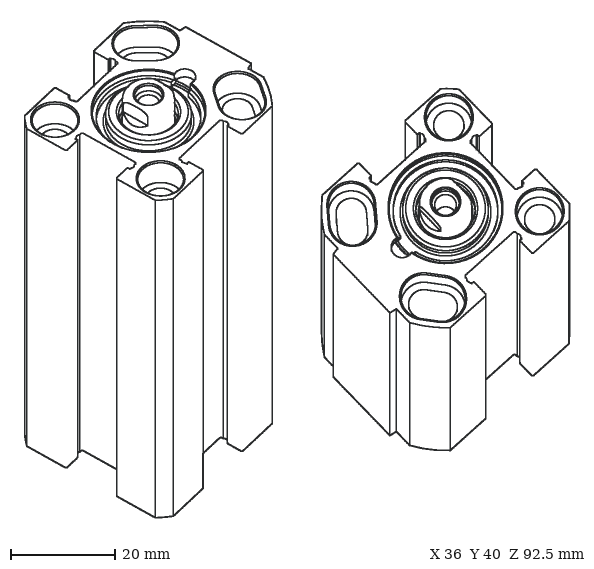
import cadquery as cq
import math

TOTAL_HEIGHT = 92.5
ROD_PROJECTION = 4.5
DECK_Z = TOTAL_HEIGHT - ROD_PROJECTION

WIDTH = 36.0
LENGTH = 40.0
HALF_WIDTH = WIDTH / 2
CORNER_RADIUS = 23.8
SHOULDER_Y = 20.5
PLATEAU_Y = LENGTH - HALF_WIDTH
PLATEAU_HALF_TOP = 8.0
PLATEAU_HALF_ROOT = 8.2

SLOT_HALF_OPENING = 6.0
SLOT_HALF_BASE = 6.6
SLOT_LIP_DEPTH = 3.6
SLOT_DEPTH = 5.6
SLOT_DIMPLE_DIAMETER = 1.6
SLOT_EDGE_RADIUS = 0.3
SLOT_CORNER_RADIUS = 0.4
SLOT_ANGLES = (-90, 0, 180)

MOUNT_OFFSET = 12.8
LONG_HOLE_END_X = 10.0
LONG_HOLE_END_Y = 15.0
MOUNT_DIAMETER = 5.8
COUNTERBORE_DIAMETER = 8.8
COUNTERBORE_DEPTH = 5.7
COUNTERBORE_CHAMFER = 0.3

MOUTH_DIAMETER = 21.6
MOUTH_CHAMFER = 0.2
GROOVE_DIAMETER = 22.8
GROOVE_TOP_DEPTH = 1.6
RING_THICKNESS = 1.4
HEAD_DEPTH = GROOVE_TOP_DEPTH + RING_THICKNESS
HEAD_LENGTH = 11.1
HEAD_BOTTOM_DEPTH = HEAD_DEPTH + HEAD_LENGTH
NOTCH_DIAMETER = 4.2
NOTCH_Y = 11.4
NOTCH_DEPTH = 2.2

RING_INNER_DIAMETER = 20.1
RING_GAP = NOTCH_DIAMETER

BOSS_ROOT_DIAMETER = 17.4
BOSS_DIAMETER = 16.5
BOSS_TOP_DIAMETER = 15.3
BOSS_TOP_DEPTH = 0.3
BOSS_SHOULDER_DEPTH = 0.8
RECESS_DIAMETER = 11.4
RECESS_CHAMFER = 0.5
RECESS_DEPTH = 2.8
HEAD_BORE_DIAMETER = 10.45

ROD_DIAMETER = 10.0
ROD_FILLET = 1.3
FLAT_WIDTH = 8.05
FLAT_LENGTH = 3.4
THREAD_DIAMETER = 4.2
THREAD_DEPTH = 11.1
THREAD_RELIEF_DIAMETER = 5.3
THREAD_RELIEF_DEPTH = 1.8
THREAD_CHAMFER = 0.3
DRILL_TIP_ANGLE = 118


def cylinder(diameter, bottom, top):
    """A cylinder on the Z axis between two heights."""
    return cq.Workplane("XY").workplane(offset=bottom).circle(diameter / 2).extrude(top - bottom)


def revolve_profile(points):
    """Turn a closed (radius, z) outline about the Z axis."""
    return cq.Workplane("XZ").polyline(points).close().revolve(360, (0, 0, 0), (0, 1, 0))


def make_profile():
    """Extruded body: a square with turned corners and a raised plateau on its +Y side."""
    right = [
        (HALF_WIDTH, -HALF_WIDTH),
        (HALF_WIDTH, SHOULDER_Y),
        (PLATEAU_HALF_ROOT, SHOULDER_Y),
        (PLATEAU_HALF_TOP, PLATEAU_Y),
    ]
    left = [(-x, y) for x, y in reversed(right)]
    block = cq.Workplane("XY").polyline(right + left).close().extrude(DECK_Z)
    return block.intersect(cylinder(2 * CORNER_RADIUS, 0, DECK_Z))


def make_sensor_slot():
    """Cutter for a slot that faces +X: undercut behind its lips, with a round dimple on each side."""
    lip_x = HALF_WIDTH - SLOT_LIP_DEPTH
    base_x = HALF_WIDTH - SLOT_DEPTH
    dimple_radius = SLOT_DIMPLE_DIAMETER / 2
    half_slot = (
        cq.Workplane("XY")
        .moveTo(base_x, 0)
        .lineTo(base_x, SLOT_HALF_BASE)
        .lineTo(lip_x, SLOT_HALF_BASE)
        .lineTo(lip_x, SLOT_HALF_OPENING)
        .lineTo(HALF_WIDTH - SLOT_EDGE_RADIUS, SLOT_HALF_OPENING)
        .tangentArcPoint((HALF_WIDTH, SLOT_HALF_OPENING + SLOT_EDGE_RADIUS), relative=False)
        .lineTo(HALF_WIDTH, 0)
        .close()
        .extrude(DECK_Z)
    )
    slot = half_slot.union(half_slot.mirror("XZ")).clean()
    slot = slot.faces("<X").edges("|Z").fillet(SLOT_CORNER_RADIUS)
    dimples = (
        cq.Workplane("XY")
        .pushPoints([(lip_x - dimple_radius, side * SLOT_HALF_OPENING) for side in (-1, 1)])
        .circle(dimple_radius)
        .extrude(DECK_Z)
    )
    return slot.union(dimples)


def make_mounting_hole(x, y, run=0.0, angle=0.0):
    """Cutter for a counterbored through hole; a run makes it an elongated hole along the angle."""

    def section(diameter, z):
        sketch = cq.Workplane("XY", origin=(x, y, z))
        if run:
            return sketch.slot2D(run + diameter, diameter, angle)
        return sketch.circle(diameter / 2)

    rim_diameter = COUNTERBORE_DIAMETER + 2 * COUNTERBORE_CHAMFER
    through = section(MOUNT_DIAMETER, 0).extrude(DECK_Z)
    counterbore = section(COUNTERBORE_DIAMETER, DECK_Z - COUNTERBORE_DEPTH).extrude(COUNTERBORE_DEPTH)
    rim = section(rim_diameter, DECK_Z).extrude(-COUNTERBORE_CHAMFER, taper=45)
    return through.union(counterbore).union(rim)


def make_mouth():
    """Cutter for the bore mouth: chamfered seat for the head, ring groove and release notch."""
    seat_radius = MOUTH_DIAMETER / 2
    seat = revolve_profile([
        (0, DECK_Z - HEAD_BOTTOM_DEPTH),
        (seat_radius, DECK_Z - HEAD_BOTTOM_DEPTH),
        (seat_radius, DECK_Z - MOUTH_CHAMFER),
        (seat_radius + MOUTH_CHAMFER, DECK_Z),
        (0, DECK_Z),
    ])
    groove = cylinder(GROOVE_DIAMETER, DECK_Z - HEAD_DEPTH, DECK_Z - GROOVE_TOP_DEPTH)
    notch = (
        cq.Workplane("XY", origin=(0, NOTCH_Y, DECK_Z - NOTCH_DEPTH))
        .circle(NOTCH_DIAMETER / 2)
        .extrude(NOTCH_DEPTH)
    )
    return seat.union(groove).union(notch)


def make_housing():
    body = make_profile()
    for facing in SLOT_ANGLES:
        body = body.cut(make_sensor_slot().rotate((0, 0, 0), (0, 0, 1), facing))
    run_x = MOUNT_OFFSET - LONG_HOLE_END_X
    run_y = LONG_HOLE_END_Y - MOUNT_OFFSET
    run = math.hypot(run_x, run_y)
    tilt = math.degrees(math.atan2(run_y, run_x))
    for side in (-1, 1):
        body = body.cut(make_mounting_hole(side * MOUNT_OFFSET, -MOUNT_OFFSET))
        long_x = side * (MOUNT_OFFSET + LONG_HOLE_END_X) / 2
        long_y = (MOUNT_OFFSET + LONG_HOLE_END_Y) / 2
        body = body.cut(make_mounting_hole(long_x, long_y, run, -side * tilt))
    return body.cut(make_mouth())


def make_retaining_ring():
    """Flat open ring that fills the groove and rests on the head, with its gap at the notch."""
    bottom = DECK_Z - HEAD_DEPTH
    ring = cylinder(GROOVE_DIAMETER, bottom, bottom + RING_THICKNESS)
    ring = ring.cut(cylinder(RING_INNER_DIAMETER, bottom, bottom + RING_THICKNESS))
    gap = (
        cq.Workplane("XY", origin=(0, GROOVE_DIAMETER / 2, bottom))
        .rect(RING_GAP, GROOVE_DIAMETER)
        .extrude(RING_THICKNESS)
    )
    return ring.cut(gap)


def make_head():
    """Rod guide: a plug in the bore seat with a root-flared boss and a recess around the rod."""
    bottom = DECK_Z - HEAD_BOTTOM_DEPTH
    flange_top = DECK_Z - HEAD_DEPTH
    boss_top = DECK_Z - BOSS_TOP_DEPTH
    root_flare = (BOSS_ROOT_DIAMETER - BOSS_DIAMETER) / 2
    recess_radius = RECESS_DIAMETER / 2
    return revolve_profile([
        (HEAD_BORE_DIAMETER / 2, bottom),
        (MOUTH_DIAMETER / 2, bottom),
        (MOUTH_DIAMETER / 2, flange_top),
        (BOSS_ROOT_DIAMETER / 2, flange_top),
        (BOSS_DIAMETER / 2, flange_top + root_flare),
        (BOSS_DIAMETER / 2, DECK_Z - BOSS_SHOULDER_DEPTH),
        (BOSS_TOP_DIAMETER / 2, boss_top),
        (recess_radius + RECESS_CHAMFER, boss_top),
        (recess_radius, boss_top - RECESS_CHAMFER),
        (recess_radius, boss_top - RECESS_DEPTH),
        (HEAD_BORE_DIAMETER / 2, boss_top - RECESS_DEPTH),
    ])


def make_rod():
    """Piston rod with a rounded end, two wrench flats and a threaded hole."""
    bottom = DECK_Z - HEAD_BOTTOM_DEPTH
    rod = cylinder(ROD_DIAMETER, bottom, TOTAL_HEIGHT).faces(">Z").edges().fillet(ROD_FILLET)
    return rod.cut(make_wrench_flats()).cut(make_threaded_hole())


def make_wrench_flats():
    """Cutter for the two flats, which run out to the rod surface at 45 degrees."""
    flat_y = FLAT_WIDTH / 2
    outer_y = ROD_DIAMETER / 2
    flat_bottom = TOTAL_HEIGHT - FLAT_LENGTH
    side = (
        cq.Workplane("YZ")
        .polyline([
            (flat_y, TOTAL_HEIGHT),
            (flat_y, flat_bottom),
            (outer_y, flat_bottom - (outer_y - flat_y)),
            (outer_y, TOTAL_HEIGHT),
        ])
        .close()
        .extrude(ROD_DIAMETER / 2, both=True)
    )
    return side.union(side.mirror("XZ"))


def make_threaded_hole():
    """Cutter for the blind hole in the rod end: entry relief, thread bore and drill tip."""
    relief_radius = THREAD_RELIEF_DIAMETER / 2
    thread_radius = THREAD_DIAMETER / 2
    relief_bottom = TOTAL_HEIGHT - THREAD_RELIEF_DEPTH
    thread_bottom = TOTAL_HEIGHT - THREAD_DEPTH
    tip_height = thread_radius / math.tan(math.radians(DRILL_TIP_ANGLE / 2))
    return revolve_profile([
        (0, TOTAL_HEIGHT),
        (relief_radius + THREAD_CHAMFER, TOTAL_HEIGHT),
        (relief_radius, TOTAL_HEIGHT - THREAD_CHAMFER),
        (relief_radius, relief_bottom),
        (thread_radius, relief_bottom - (relief_radius - thread_radius)),
        (thread_radius, thread_bottom),
        (0, thread_bottom - tip_height),
    ])


housing = make_housing()
retaining_ring = make_retaining_ring()
head = make_head()
rod = make_rod()

result = cq.Compound.makeCompound([
    housing.val(),
    retaining_ring.val(),
    head.val(),
    rod.val(),
])